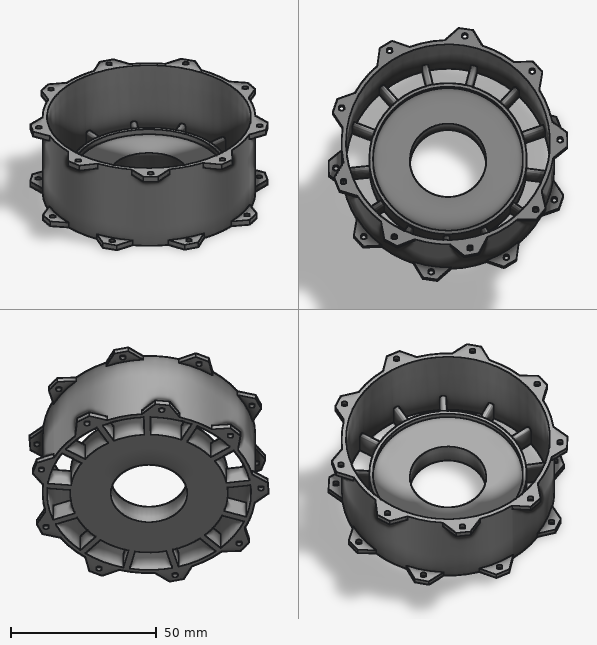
import cadquery as cq

ring_outer_diameter = 73.0
ring_inner_diameter = 70.0
total_height = 30.0

hub_diameter = 54.0
lip_inner_diameter = 51.5
bore_diameter = 26.2
hub_floor_height = 8.0
lip_height = 2.0

spoke_count = 13
spoke_width = 2.2
spoke_height = hub_floor_height
spoke_edge_radius = 1.0

tabs_per_rim = 9
tab_thickness = 2.0
tab_tip_radius = 40.9
tab_tip_width = 5.0
tab_root_radius = 35.7
tab_root_width = 13.4
tab_hole_diameter = 2.0
tab_hole_radius = 38.5

spoke_overlap = 0.65

first_angle = 90.0


def tube(outer_diameter, inner_diameter, height):
    """Round tube standing on the base plane."""
    return (
        cq.Workplane("XY")
        .circle(outer_diameter / 2)
        .circle(inner_diameter / 2)
        .extrude(height)
    )


def around_axis(body, angle):
    """Body turned about the part axis."""
    return body.rotate((0, 0, 0), (0, 0, 1), angle)


def make_hub():
    disc = tube(hub_diameter, bore_diameter, hub_floor_height)
    lip = tube(hub_diameter, lip_inner_diameter, hub_floor_height + lip_height)
    return disc.union(lip)


def make_spoke():
    """Radial bar along +X with both of its long top edges rounded."""
    inner_end = hub_diameter / 2 - spoke_overlap
    outer_end = ring_inner_diameter / 2 + spoke_overlap
    return (
        cq.Workplane("XY")
        .box(outer_end - inner_end, spoke_width, spoke_height, centered=(False, True, False))
        .edges("|X and >Z")
        .fillet(spoke_edge_radius)
        .translate((inner_end, 0, 0))
    )


def make_tab():
    """Tapered ear along +X with a screw hole, on the base plane."""
    outline = [
        (tab_root_radius, -tab_root_width / 2),
        (tab_tip_radius, -tab_tip_width / 2),
        (tab_tip_radius, tab_tip_width / 2),
        (tab_root_radius, tab_root_width / 2),
    ]
    hole = (
        cq.Workplane("XY")
        .center(tab_hole_radius, 0)
        .circle(tab_hole_diameter / 2)
        .extrude(tab_thickness)
    )
    return cq.Workplane("XY").polyline(outline).close().extrude(tab_thickness).cut(hole)


result = tube(ring_outer_diameter, ring_inner_diameter, total_height).union(make_hub())

spoke = make_spoke()
for i in range(spoke_count):
    result = result.union(around_axis(spoke, first_angle + i * 360 / spoke_count))

bottom_tab = make_tab()
top_tab = bottom_tab.translate((0, 0, total_height - tab_thickness))
tab_pitch = 360 / tabs_per_rim
for i in range(tabs_per_rim):
    top_angle = first_angle + i * tab_pitch
    result = result.union(around_axis(top_tab, top_angle))
    result = result.union(around_axis(bottom_tab, top_angle + tab_pitch / 2))